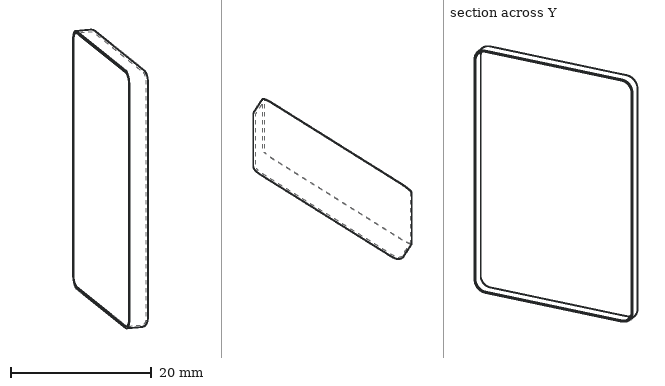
import cadquery as cq

width = 25.3
depth = 3.0
height = 38.1

wall = 0.3
corner_radius = 1.8
back_edge_radius = 0.8

inner_corner_radius = corner_radius - wall
inner_edge_radius = back_edge_radius - wall


def rounded_block(size_x, size_y, size_z, upright_radius, edge_radius):
    """Block with its front face on Y = 0, rounded corners and a rounded back edge."""
    block = cq.Workplane("XY").box(size_x, size_y, size_z, centered=(True, False, True))
    return block.edges("|Y").fillet(upright_radius).faces(">Y").edges().fillet(edge_radius)


outer = rounded_block(width, depth, height, corner_radius, back_edge_radius)
cavity = rounded_block(
    width - 2 * wall,
    depth - wall,
    height - 2 * wall,
    inner_corner_radius,
    inner_edge_radius,
)

result = outer.cut(cavity)